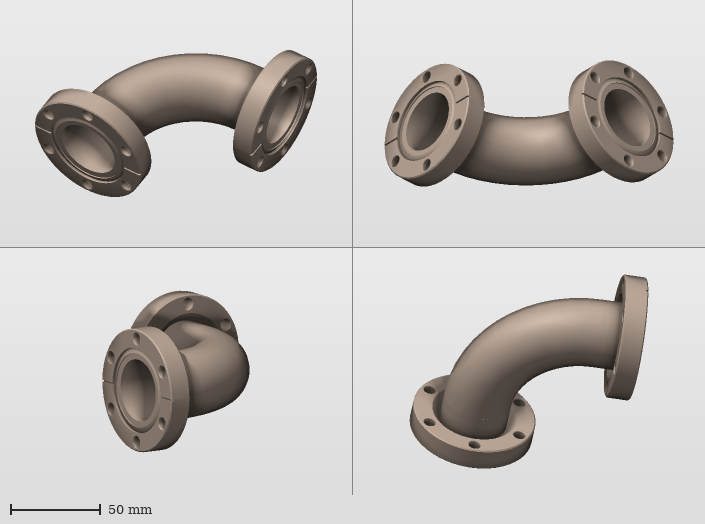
import cadquery as cq
overall_length = 114.7
flange_diameter = 69.4
center_to_face = overall_length - flange_diameter / 2
bend_radius = 57.1

tube_outer_diameter = 38.1
tube_inner_diameter = 35.0

flange_thickness = 12.8
flange_chamfer = 0.7

recess_diameter = 48.2
recess_depth = 1.7
knife_diameter = 42.0
knife_tip_depth = 0.5
inner_face_depth = 1.1

relief_mouth_diameter = 48.2
relief_depth = (relief_mouth_diameter - tube_outer_diameter) / 2
socket_floor_depth = 4.6

bolt_count = 6
bolt_circle_diameter = 58.7
bolt_hole_diameter = 6.7
bolt_hole_chamfer = 0.3

groove_width = 1.1
groove_depth = 1.5


def make_flange():
    """Flange on the Z axis, sealing face at Z = 0, rear face at Z = flange_thickness."""
    flange_radius = flange_diameter / 2
    bore_radius = tube_inner_diameter / 2
    knife_radius = knife_diameter / 2
    recess_radius = recess_diameter / 2
    socket_radius = tube_outer_diameter / 2
    flange = (
        cq.Workplane("XZ")
        .moveTo(bore_radius, inner_face_depth)
        .lineTo(knife_radius, inner_face_depth)
        .lineTo(knife_radius, knife_tip_depth)
        .lineTo(recess_radius, recess_depth)
        .lineTo(recess_radius, 0)
        .lineTo(flange_radius - flange_chamfer, 0)
        .lineTo(flange_radius, flange_chamfer)
        .lineTo(flange_radius, flange_thickness - flange_chamfer)
        .lineTo(flange_radius - flange_chamfer, flange_thickness)
        .lineTo(relief_mouth_diameter / 2, flange_thickness)
        .lineTo(socket_radius, flange_thickness - relief_depth)
        .lineTo(socket_radius, socket_floor_depth)
        .lineTo(bore_radius, socket_floor_depth)
        .close()
        .revolve(360, (0, 0), (0, 1))
    )
    return flange.cut(make_bolt_holes()).cut(make_leak_grooves())


def make_bolt_holes():
    """Cutters for the bolt holes, chamfered at both faces of the flange."""
    hole_radius = bolt_hole_diameter / 2
    mouth_radius = hole_radius + bolt_hole_chamfer
    cutter = (
        cq.Workplane("XZ")
        .moveTo(0, 0)
        .lineTo(mouth_radius, 0)
        .lineTo(hole_radius, bolt_hole_chamfer)
        .lineTo(hole_radius, flange_thickness - bolt_hole_chamfer)
        .lineTo(mouth_radius, flange_thickness)
        .lineTo(0, flange_thickness)
        .close()
        .revolve(360, (0, 0), (0, 1))
        .val()
    )
    first_angle = 360 / bolt_count / 2
    return (
        cq.Workplane("XY")
        .polarArray(bolt_circle_diameter / 2, first_angle, 360, bolt_count)
        .eachpoint(lambda place: cutter.moved(place))
    )


def make_leak_grooves():
    """Cutters for the two opposite radial grooves, from the recess wall to the rim."""
    groove_span = (
        cq.Workplane("XY")
        .rect(flange_diameter, groove_width)
        .extrude(groove_depth)
    )
    recess = cq.Workplane("XY").circle(recess_diameter / 2).extrude(groove_depth)
    return groove_span.cut(recess)


def make_stub():
    """Straight tube on the Z axis, from the socket floor to the start of the bend."""
    stub_length = center_to_face - bend_radius - socket_floor_depth
    return (
        cq.Workplane("XY")
        .workplane(offset=socket_floor_depth)
        .circle(tube_outer_diameter / 2)
        .circle(tube_inner_diameter / 2)
        .extrude(stub_length)
    )


def make_elbow():
    """Quarter bend joining the inner ends of the two stubs."""
    return (
        cq.Workplane("XZ", origin=(0, -bend_radius, 0))
        .circle(tube_outer_diameter / 2)
        .circle(tube_inner_diameter / 2)
        .revolve(90, (bend_radius, 1.1), (bend_radius, 0))
    )


ports = [
    cq.Plane(origin=(0, -center_to_face, 0), xDir=(1, 0, 0), normal=(0, 1, 0)),
    cq.Plane(origin=(center_to_face, 0, 0), xDir=(0, 1, 0), normal=(-1, 0, 0)),
]

elbow = make_elbow()
stubs = [make_stub().val().moved(cq.Location(port)) for port in ports]
flanges = [make_flange().val().moved(cq.Location(port)) for port in ports]

result = cq.Compound.makeCompound([elbow.val(), *stubs, *flanges])